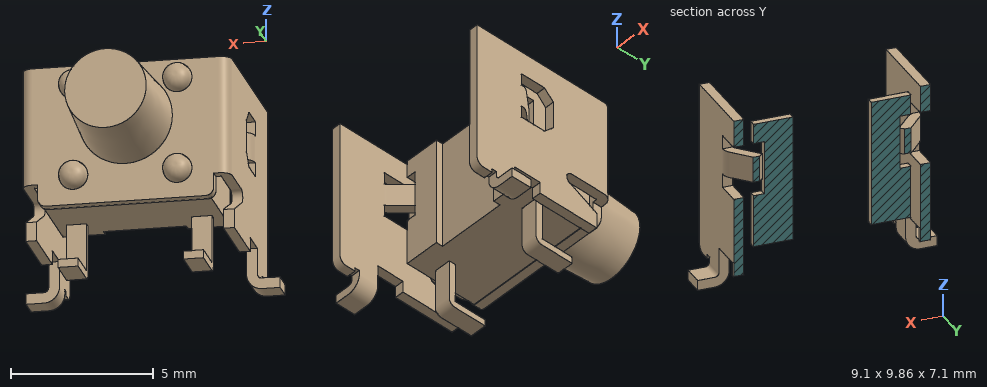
import cadquery as cq
import math


height = 7.1
width = 7.47
sheet = 0.39
corner_radius = sheet
wall_end_y = -6.45
back_bottom_z = 2.8
half_width = width / 2
inner_half_width = half_width - sheet

tongue_half_width = 3.16
tongue_bottom_z = 1.99
tongue_radius = 0.3

heel_y = -0.75
heel_top_z = 1.69
heel_bottom_z = 1.0
notch_tip_y = -2.97
notch_radius = 0.25
step_y = -3.45
step_z = 1.5
leg_back_y = -4.64
leg_front_y = -5.53
relief_z = 0.75
relief_front_y = -5.74
toe_z = 0.59
toe_radius = 0.31

foot_span = 9.1
foot_thickness = sheet
foot_inner_radius = 0.17

window_back_y = -2.82
window_front_y = -4.33
window_height = 2.02
window_chamfer = 0.41
tab_height = 1.0
tab_angle = 42.0
tab_inner_radius = 0.12
tab_tip_x = 2.59

body_half_width = 2.99
body_front_y = -3.58
body_bottom_z = 2.02
body_top_z = 6.83
channel_half_width = 1.48
channel_depth = 0.3
pocket_floor_x = 2.58
pocket_back_y = -3.07

axis_z = 5.05
button_length = 3.41
button_base_radius = 1.68
button_tip_radius = 1.46

rivet_centre_z = 4.73
rivet_x = 1.86
rivet_z_offset = 1.68
rivet_radius = 0.51
rivet_height = 0.51
rivet_rounding = 0.42

pin_inner_x = 1.88
pin_outer_x = 2.6
pin_front_y = -2.59
pin_back_y = -0.88
pin_thickness = 0.3
pin_radius = 0.28


def box(x0, x1, y0, y1, z0, z1):
    """Box between two opposite corners."""
    return cq.Workplane("XY").box(x1 - x0, y1 - y0, z1 - z0, centered=False).translate((x0, y0, z0))


def yz_prism(points, x0, x1):
    """Polygon in the YZ plane, extruded from x0 to x1."""
    return cq.Workplane("YZ").workplane(offset=x0).polyline(points).close().extrude(x1 - x0)


def both_sides(shape):
    """The shape together with its mirror image across X = 0."""
    return shape.union(shape.mirror("YZ"))


def make_channel():
    """Back plate with two side walls, rounded along the outer bends."""
    outer = box(-half_width, half_width, wall_end_y, 0, 0, height)
    outer = outer.edges("|Z and >Y").fillet(corner_radius)
    inner = box(-inner_half_width, inner_half_width, wall_end_y, -sheet, 0, height)
    return outer.cut(inner).cut(box(-half_width, half_width, heel_y, 0, 0, back_bottom_z))


def make_wall_waste():
    """Material removed below both side walls, with the tapered rear notch."""
    notch = yz_prism(
        [(0, back_bottom_z), (notch_tip_y, back_bottom_z), (heel_y, heel_top_z), (0, heel_top_z)],
        -half_width,
        half_width,
    )
    notch = notch.edges("|X and <Y").fillet(notch_radius)
    below = yz_prism(
        [
            (0, 0),
            (0, heel_bottom_z),
            (step_y, heel_bottom_z),
            (step_y, step_z),
            (leg_back_y, step_z),
            (leg_back_y, relief_z),
            (relief_front_y, relief_z),
            (relief_front_y, toe_z),
            (wall_end_y, toe_z),
            (wall_end_y, 0),
        ],
        -half_width,
        half_width,
    )
    return notch.union(below)


def make_foot():
    """Leg at +X that bends outward into a flat solder foot."""
    leg_inner_x = half_width - foot_thickness
    bend_outer_radius = foot_inner_radius + foot_thickness
    bend_x = half_width + foot_inner_radius
    bend_z = bend_outer_radius
    diagonal = math.sqrt(0.5)
    outer_middle = (bend_x - bend_outer_radius * diagonal, bend_z - bend_outer_radius * diagonal)
    inner_middle = (bend_x - foot_inner_radius * diagonal, bend_z - foot_inner_radius * diagonal)
    return (
        cq.Workplane("XZ", origin=(0, leg_back_y, 0))
        .moveTo(leg_inner_x, relief_z)
        .lineTo(leg_inner_x, bend_z)
        .threePointArc(outer_middle, (bend_x, 0))
        .lineTo(foot_span / 2, 0)
        .lineTo(foot_span / 2, foot_thickness)
        .lineTo(bend_x, foot_thickness)
        .threePointArc(inner_middle, (half_width, bend_z))
        .lineTo(half_width, relief_z)
        .close()
        .extrude(leg_back_y - leg_front_y)
    )


def make_window():
    """Opening through both walls, chamfered at its rear corners."""
    half = window_height / 2
    opening = box(-half_width, half_width, window_front_y, window_back_y, axis_z - half, axis_z + half)
    return opening.edges("|X and >Y").chamfer(window_chamfer)


def make_tab():
    """Latch tab at +X, bent inward from the front edge of the window."""
    angle = math.radians(tab_angle)
    bend_x = inner_half_width - tab_inner_radius
    tab_outer_radius = tab_inner_radius + sheet

    def on_bend(radius, turn):
        return (bend_x + radius * math.cos(turn), window_front_y + radius * math.sin(turn))

    inner_end = on_bend(tab_inner_radius, angle)
    length = (inner_end[0] - tab_tip_x) / math.sin(angle)
    inner_tip = (tab_tip_x, inner_end[1] + length * math.cos(angle))
    outer_tip = (inner_tip[0] + sheet * math.cos(angle), inner_tip[1] + sheet * math.sin(angle))
    return (
        cq.Workplane("XY", origin=(0, 0, axis_z - tab_height / 2))
        .moveTo(*on_bend(tab_inner_radius, 0))
        .threePointArc(on_bend(tab_inner_radius, angle / 2), inner_end)
        .lineTo(*inner_tip)
        .lineTo(*outer_tip)
        .lineTo(*on_bend(tab_outer_radius, angle))
        .threePointArc(on_bend(tab_outer_radius, angle / 2), on_bend(tab_outer_radius, 0))
        .close()
        .extrude(tab_height)
    )


def make_tongue():
    """Narrower strip that extends the back plate downward."""
    tongue = box(-tongue_half_width, tongue_half_width, -sheet, 0, tongue_bottom_z, back_bottom_z)
    return tongue.edges("|Y and <Z").fillet(tongue_radius)


def make_bracket():
    """Complete sheet-metal bracket with its feet, latch tabs and tongue."""
    channel = make_channel().cut(make_wall_waste()).cut(make_window())
    channel = channel.cut(box(-half_width, half_width, leg_front_y, leg_back_y, 0, relief_z))
    channel = channel.edges("|X and <Y and <Z").fillet(toe_radius)
    return channel.union(make_tongue()).union(both_sides(make_foot())).union(both_sides(make_tab()))


def make_body():
    """Switch housing with a front channel and a pocket for each latch tab."""
    body = box(-body_half_width, body_half_width, body_front_y, -sheet, body_bottom_z, body_top_z)
    channel = box(
        -channel_half_width,
        channel_half_width,
        body_front_y,
        body_front_y + channel_depth,
        body_bottom_z,
        body_top_z,
    )
    half = window_height / 2
    pocket = box(
        pocket_floor_x, body_half_width, body_front_y, pocket_back_y, axis_z - half, axis_z + half
    )
    return body.cut(channel).cut(both_sides(pocket))


def make_button():
    """Tapered round button standing on the back plate."""
    return cq.Workplane("XY").add(
        cq.Solid.makeCone(
            button_base_radius,
            button_tip_radius,
            button_length,
            pnt=cq.Vector(0, 0, axis_z),
            dir=cq.Vector(0, 1, 0),
        )
    )


def make_rivets():
    """Four domed rivet heads around the button."""
    heads = (
        cq.Workplane("XZ", origin=(0, 0, rivet_centre_z))
        .rect(2 * rivet_x, 2 * rivet_z_offset, forConstruction=True)
        .vertices()
        .circle(rivet_radius)
        .extrude(-rivet_height)
    )
    return heads.faces(">Y").edges().fillet(rivet_rounding)


def make_pin():
    """L-shaped contact pin at +X, running back along the solder plane."""
    upright_back_y = pin_front_y + pin_thickness
    pin = yz_prism(
        [
            (pin_front_y, body_bottom_z),
            (pin_front_y, 0),
            (pin_back_y, 0),
            (pin_back_y, pin_thickness),
            (upright_back_y, pin_thickness),
            (upright_back_y, body_bottom_z),
        ],
        pin_inner_x,
        pin_outer_x,
    )
    return pin.edges("|X and <Y and <Z").fillet(pin_radius)


result = (
    make_bracket()
    .union(make_body())
    .union(make_button())
    .union(make_rivets())
    .union(both_sides(make_pin()))
)